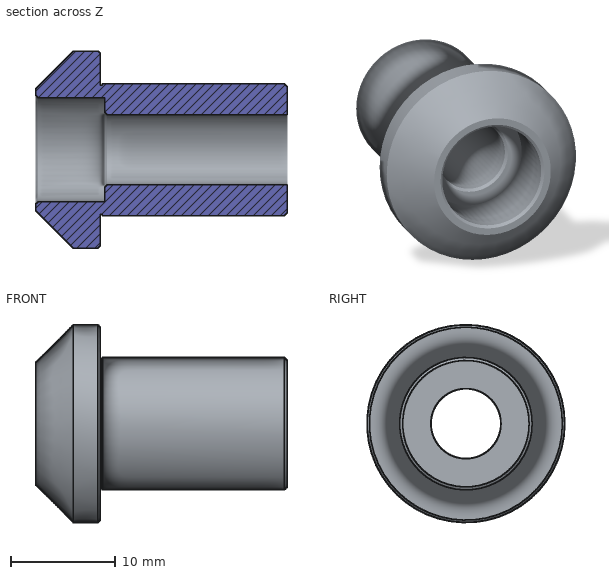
import cadquery as cq

length = 24.13
flange_diameter = 18.97
nose_diameter = 11.7
body_diameter = 12.7
neck_diameter = 12.45

flange_back = 6.2
neck_end = 6.35
body_start = 6.42
flange_chamfer = 0.25
body_chamfer = 0.3

bore_diameter = 9.92
bore_depth = 6.6
bore_chamfer = 0.25
hole_diameter = 6.68
hole_chamfer = 0.25

flange_radius = flange_diameter / 2
nose_radius = nose_diameter / 2
body_radius = body_diameter / 2
neck_radius = neck_diameter / 2
bore_radius = bore_diameter / 2
hole_radius = hole_diameter / 2

cone_length = flange_radius - nose_radius

half_section = (
    cq.Workplane("XY")
    .moveTo(0, nose_radius)
    .lineTo(cone_length, flange_radius)
    .lineTo(flange_back - flange_chamfer, flange_radius)
    .lineTo(flange_back, flange_radius - flange_chamfer)
    .lineTo(flange_back, neck_radius)
    .lineTo(neck_end, neck_radius)
    .lineTo(body_start, body_radius)
    .lineTo(length - body_chamfer, body_radius)
    .lineTo(length, body_radius - body_chamfer)
    .lineTo(length, hole_radius)
    .lineTo(bore_depth + hole_chamfer, hole_radius)
    .lineTo(bore_depth, hole_radius + hole_chamfer)
    .lineTo(bore_depth, bore_radius)
    .lineTo(bore_chamfer, bore_radius)
    .lineTo(0, bore_radius + bore_chamfer)
    .close()
)

result = half_section.revolve(360, (0, 0, 0), (1, 0, 0))